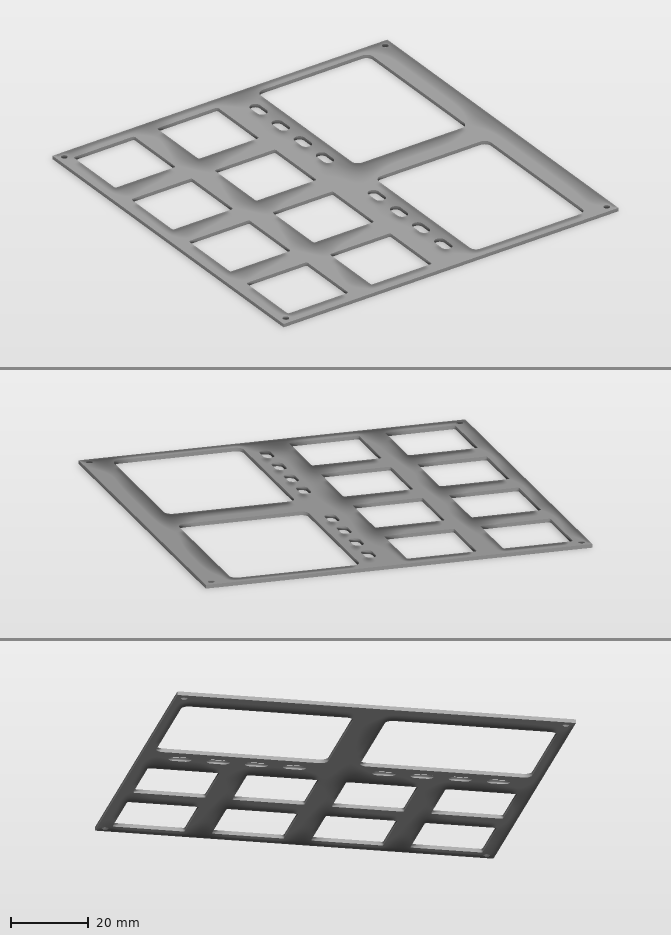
import cadquery as cq

PLATE_SIDE = 104.35
PLATE_THICKNESS = 1.0

SCREW_HOLE_DIAMETER = 1.75
SCREW_HOLE_PITCH = 100.0

WINDOW_WIDTH = 45.0
WINDOW_HEIGHT = 35.0
WINDOW_CORNER_RADIUS = 2.0
WINDOW_PITCH = 53.4
WINDOW_CENTER_Y = 26.75

SLOTS_PER_WINDOW = 4
SLOT_LENGTH = 6.0
SLOT_WIDTH = 3.0
SLOT_PITCH = 10.0
SLOT_CENTER_Y = 4.8

KEY_COLUMNS = 4
KEY_ROWS = 2
KEY_SIDE = 18.9
KEY_CORNER_RADIUS = 0.5
KEY_PITCH = 26.0
KEY_GRID_CENTER_Y = -25.8


def through_cutter(sketch, centers):
    """Return a plate-thick body of the sketch at each centre point."""
    return cq.Workplane("XY").pushPoints(centers).placeSketch(sketch).extrude(PLATE_THICKNESS)


def evenly_spaced(count, pitch, center=0.0):
    """Return coordinates of equally spaced items centred on a value."""
    first = center - pitch * (count - 1) / 2
    return [first + index * pitch for index in range(count)]


def rounded_rectangle(width, height, radius):
    return cq.Sketch().rect(width, height).vertices().fillet(radius)


def screw_holes():
    positions = evenly_spaced(2, SCREW_HOLE_PITCH)
    centers = [(x, y) for x in positions for y in positions]
    return through_cutter(cq.Sketch().circle(SCREW_HOLE_DIAMETER / 2), centers)


def display_windows():
    outline = rounded_rectangle(WINDOW_WIDTH, WINDOW_HEIGHT, WINDOW_CORNER_RADIUS)
    centers = [(x, WINDOW_CENTER_Y) for x in evenly_spaced(2, WINDOW_PITCH)]
    return through_cutter(outline, centers)


def slots():
    outline = cq.Sketch().slot(SLOT_LENGTH - SLOT_WIDTH, SLOT_WIDTH)
    centers = [
        (x, SLOT_CENTER_Y)
        for window_x in evenly_spaced(2, WINDOW_PITCH)
        for x in evenly_spaced(SLOTS_PER_WINDOW, SLOT_PITCH, window_x)
    ]
    return through_cutter(outline, centers)


def key_openings():
    outline = rounded_rectangle(KEY_SIDE, KEY_SIDE, KEY_CORNER_RADIUS)
    centers = [
        (x, y)
        for x in evenly_spaced(KEY_COLUMNS, KEY_PITCH)
        for y in evenly_spaced(KEY_ROWS, KEY_PITCH, KEY_GRID_CENTER_Y)
    ]
    return through_cutter(outline, centers)


plate = cq.Workplane("XY").box(
    PLATE_SIDE, PLATE_SIDE, PLATE_THICKNESS, centered=(True, True, False)
)
result = (
    plate.cut(screw_holes())
    .cut(display_windows())
    .cut(slots())
    .cut(key_openings())
)